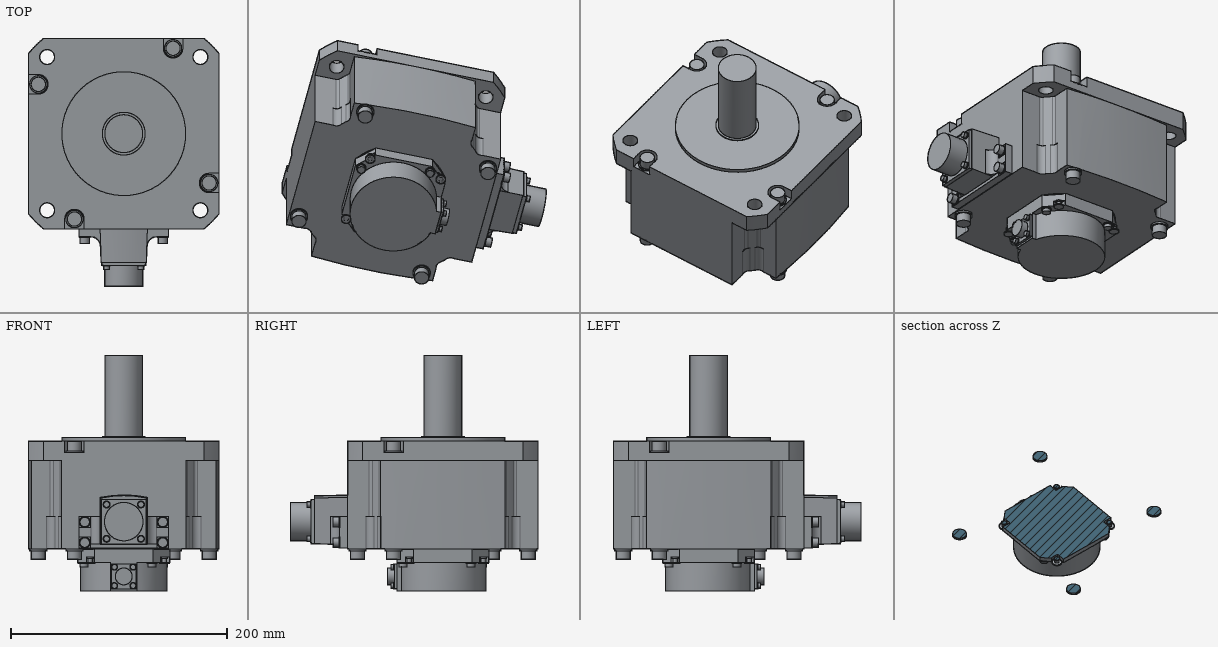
import math
import cadquery as cq

shaft_top = 79.0
overall_height = 217.5
overall_depth = 228.85

shaft_dia = 35.0
collar_dia = 39.5
collar_height = 0.7
pilot_dia = 114.3
pilot_height = 3.5

flange_size = 176.0
flange_half = flange_size / 2
flange_thickness = 18.0
flange_corner_radius = 115.0
mount_circle_radius = 100.0
mount_angle = 45.0
mount_hole_dia = 13.5

body_bottom = -99.5
body_height = -flange_thickness - body_bottom
arm_half_width = 57.5
side_corner_x = 85.3
core_radius = 87.7
core_fillet = 4.0
relief_top = -69.5
relief_radius = 6.5
relief_near = 63.7
relief_far = 69.2

tie_circle_radius = 91.0
tie_angle = 240.0
tie_dia = 13.2
tie_washer_dia = 16.0
tie_slot_width = 18.0
tie_slot_depth = 10.4
tie_top_washer_thickness = 1.3
tie_bottom_washer_thickness = 1.8
tie_top = -0.5
tie_bottom = -109.3

encoder_half = 42.5
encoder_flange_bottom = -112.0
encoder_flange_height = body_bottom - encoder_flange_bottom
encoder_chamfer = 15.5
encoder_lip_radius = 50.0
encoder_lip_thickness = 0.8

encoder_radius = 40.0
encoder_bottom = shaft_top - overall_height
cover_screw_spot = (-36.7, -26.0)
cover_screw_radius = 3.7
cover_screw_length = 4.0
cover_washer_radius = 4.5
cover_washer_thickness = 1.1
stud_spot = (-31.0, -37.5)
stud_radius = 2.1
stud_washer_radius = 2.7
stud_washer_thickness = 1.4
stud_pocket_width = 7.2
stud_pocket_height = 5.0

signal_pad_half = 12.0
signal_pad_y = -encoder_half
signal_z = -124.9
signal_plate_size = 23.0
signal_plate_y = -44.6
signal_plug_radius = 7.8
signal_plug_y = -51.3
signal_screw_offset = 8.6
signal_screw_radius = 2.5
signal_washer_radius = 2.9
signal_screw_y = -47.9

base_half_width = 41.3
base_top = -69.5
base_bottom = -98.9
base_y = -95.4
base_bolt_x = 36.0
base_bolt_z = (-74.7, -93.7)
base_bolt_radius = 4.4
base_washer_radius = 5.0
base_bolt_y = -101.4
spot_size = 10.4
spot_depth = 0.5
web_bottom = -95.2
web_radius = 8.2

housing_half_root = 21.8
housing_half_tip = 21.1
housing_y = -118.7
housing_corner_root = -51.9
housing_corner_tip = -52.6
housing_crown = 2.2
housing_bottom_root = -95.9
housing_bottom_tip = -94.8
plug_z = -74.35
plug_plate_size = 41.0
plug_plate_y = -121.5
plug_radius = 17.75
plug_y = flange_half - overall_depth
plug_screw_offset = 15.85
plug_screw_radius = 2.7
plug_washer_radius = 3.2
plug_screw_y = -125.4

washer_thickness = 0.8

QUARTERS = (0, 90, 180, 270)
OVERLAP = 1.0


def upright(radius, bottom, top, x=0.0, y=0.0):
    """Vertical cylinder between two heights."""
    return cq.Workplane("XY", origin=(x, y, bottom)).circle(radius).extrude(top - bottom)


def forward(radius, y_back, y_front, x, z):
    """Cylinder along -Y between two depths."""
    return cq.Workplane("XZ", origin=(x, y_back, z)).circle(radius).extrude(y_back - y_front)


def block(x_range, y_range, z_range):
    """Axis-aligned box given by its limits."""
    sides = [high - low for low, high in (x_range, y_range, z_range)]
    corner = (x_range[0], y_range[0], z_range[0])
    return cq.Workplane("XY").box(*sides, centered=False).translate(corner)


def add_quarters(part, feature):
    for angle in QUARTERS:
        part = part.union(feature.rotate((0, 0, 0), (0, 0, 1), angle))
    return part


def cut_quarters(part, feature):
    for angle in QUARTERS:
        part = part.cut(feature.rotate((0, 0, 0), (0, 0, 1), angle))
    return part


def make_flange():
    square = cq.Workplane("XY").rect(flange_size, flange_size).extrude(-flange_thickness)
    flange = square.intersect(upright(flange_corner_radius, -flange_thickness, 0))
    flange = (
        flange.faces(">Z").workplane(origin=(0, 0, 0))
        .polarArray(mount_circle_radius, mount_angle, 360, len(QUARTERS)).hole(mount_hole_dia)
    )
    pilot = upright(pilot_dia / 2, -OVERLAP, pilot_height)
    collar = upright(collar_dia / 2, 0, pilot_height + collar_height)
    shaft = upright(shaft_dia / 2, 0, shaft_top)
    return flange.union(pilot).union(collar).union(shaft)


def make_body():
    section = cq.Workplane("XY", origin=(0, 0, body_bottom))
    side_arms = (
        section.moveTo(-side_corner_x, -arm_half_width)
        .lineTo(side_corner_x, -arm_half_width)
        .threePointArc((flange_half, 0), (side_corner_x, arm_half_width))
        .lineTo(-side_corner_x, arm_half_width)
        .threePointArc((-flange_half, 0), (-side_corner_x, -arm_half_width))
        .close().extrude(body_height)
    )
    front_back_arms = section.rect(2 * arm_half_width, flange_size).extrude(body_height)
    core = upright(core_radius, body_bottom, -flange_thickness)
    body = side_arms.union(front_back_arms).union(core)

    meet = math.sqrt(core_radius**2 - arm_half_width**2)
    mid_z = (body_bottom - flange_thickness) / 2
    for sx in (-1, 1):
        for sy in (-1, 1):
            for x, y in ((meet, arm_half_width), (arm_half_width, meet)):
                edge = cq.selectors.NearestToPointSelector((sx * x, sy * y, mid_z))
                body = body.edges("|Z").edges(edge).fillet(core_fillet)

    for x, y in ((relief_far, relief_near), (relief_near, relief_far)):
        body = cut_quarters(body, upright(relief_radius, body_bottom, relief_top, x, y))
    return body


def add_tie_bolts(part):
    x = tie_circle_radius * math.cos(math.radians(tie_angle))
    y = tie_circle_radius * math.sin(math.radians(tie_angle))
    half_slot = tie_slot_width / 2
    slot = upright(half_slot, -tie_slot_depth, OVERLAP, x, y).union(
        block((x - half_slot, x + half_slot), (-flange_half - OVERLAP, y), (-tie_slot_depth, OVERLAP))
    )
    washer_top = tie_top_washer_thickness - tie_slot_depth
    top_washer = upright(tie_washer_dia / 2, -tie_slot_depth, washer_top, x, y)
    washer_bottom = body_bottom - tie_bottom_washer_thickness
    bottom_washer = upright(tie_washer_dia / 2, washer_bottom, body_bottom, x, y)
    bolt = upright(tie_dia / 2, tie_bottom, tie_top, x, y)
    part = cut_quarters(part, slot)
    return add_quarters(part, bolt.union(top_washer).union(bottom_washer))


def make_encoder():
    flange = (
        cq.Workplane("XY", origin=(0, 0, encoder_flange_bottom))
        .rect(2 * encoder_half, 2 * encoder_half).extrude(encoder_flange_height)
        .edges("|Z").chamfer(encoder_chamfer)
    )
    lip_bottom = body_bottom - encoder_lip_thickness
    lip = upright(encoder_lip_radius, lip_bottom, body_bottom).intersect(
        block((-encoder_half, encoder_half), (-encoder_half, encoder_half), (lip_bottom, body_bottom))
    )
    cover = upright(encoder_radius, encoder_bottom, encoder_flange_bottom)
    pad = block(
        (-signal_pad_half, signal_pad_half), (signal_pad_y, 0), (encoder_bottom, encoder_flange_bottom)
    )
    encoder = flange.union(lip).union(cover).union(pad)

    stud_x, stud_y = stud_spot
    pocket_top = encoder_flange_bottom + stud_pocket_height
    half_pocket = stud_pocket_width / 2
    pocket = block(
        (stud_x - half_pocket, stud_x + half_pocket),
        (-encoder_half, stud_y + half_pocket),
        (encoder_flange_bottom, pocket_top),
    )
    washer_bottom = encoder_flange_bottom - cover_washer_thickness
    stud = upright(stud_radius, washer_bottom, pocket_top, stud_x, stud_y)
    stud_washer = upright(
        stud_washer_radius, pocket_top - stud_washer_thickness, pocket_top, stud_x, stud_y
    )
    stud_foot = upright(cover_washer_radius, washer_bottom, encoder_flange_bottom, stud_x, stud_y)
    encoder = cut_quarters(encoder, pocket)
    encoder = add_quarters(encoder, stud.union(stud_washer).union(stud_foot))

    screw_bottom = encoder_flange_bottom - cover_screw_length
    screw = upright(cover_screw_radius, screw_bottom, encoder_flange_bottom, *cover_screw_spot)
    washer = upright(cover_washer_radius, washer_bottom, encoder_flange_bottom, *cover_screw_spot)
    return add_quarters(encoder, screw.union(washer))


def make_plug(z, back_y, plate_size, plate_y, plug_r, end_y, screw_offset, screw_r, washer_r, screw_y):
    """Square plate with a round plug and four corner screws, facing -Y."""
    half = plate_size / 2
    plug = block((-half, half), (plate_y, back_y), (z - half, z + half))
    plug = plug.union(forward(plug_r, back_y, end_y, 0, z))
    for x in (-screw_offset, screw_offset):
        for dz in (-screw_offset, screw_offset):
            washer = forward(washer_r, back_y, plate_y - washer_thickness, x, z + dz)
            plug = plug.union(forward(screw_r, back_y, screw_y, x, z + dz)).union(washer)
    return plug


def housing_outline(plane, half_width, bottom, corner):
    """Housing section with a crowned top."""
    return (
        plane.moveTo(-half_width, bottom)
        .lineTo(half_width, bottom)
        .lineTo(half_width, corner)
        .threePointArc((0, corner + housing_crown), (-half_width, corner))
        .close()
    )


def make_power_connector():
    back_y = OVERLAP - flange_half
    base = block((-base_half_width, base_half_width), (base_y, back_y), (base_bottom, base_top))

    root = housing_outline(
        cq.Workplane("XZ", origin=(0, back_y, 0)), housing_half_root, housing_bottom_root, housing_corner_root
    )
    tip = housing_outline(
        root.workplane(offset=back_y - housing_y), housing_half_tip, housing_bottom_tip, housing_corner_tip
    )
    connector = base.union(tip.loft(ruled=True))

    half_spot = spot_size / 2
    for side in (-1, 1):
        web_outer = side * (housing_half_root + web_radius)
        inner = side * (housing_half_root - OVERLAP)
        web_block = block(
            sorted((inner, web_outer)), (base_y - web_radius, base_y), (web_bottom, base_top)
        )
        hollow = upright(web_radius, web_bottom, base_top, web_outer, base_y - web_radius)
        connector = connector.union(web_block.cut(hollow))

        x = side * base_bolt_x
        for z in base_bolt_z:
            spot = block(
                (x - half_spot, x + half_spot), (base_y, base_y + spot_depth), (z - half_spot, z + half_spot)
            )
            seat_y = base_y + spot_depth
            bolt = forward(base_bolt_radius, seat_y, base_bolt_y, x, z)
            washer = forward(base_washer_radius, seat_y, seat_y - washer_thickness, x, z)
            connector = connector.cut(spot).union(bolt).union(washer)

    plug = make_plug(
        plug_z, housing_y + OVERLAP, plug_plate_size, plug_plate_y, plug_radius, plug_y,
        plug_screw_offset, plug_screw_radius, plug_washer_radius, plug_screw_y,
    )
    return connector.union(plug)


signal_connector = make_plug(
    signal_z, signal_pad_y + OVERLAP, signal_plate_size, signal_plate_y, signal_plug_radius, signal_plug_y,
    signal_screw_offset, signal_screw_radius, signal_washer_radius, signal_screw_y,
)
motor = make_flange().union(make_body())
motor = add_tie_bolts(motor)
motor = motor.union(make_encoder()).union(signal_connector)
result = motor.union(make_power_connector())